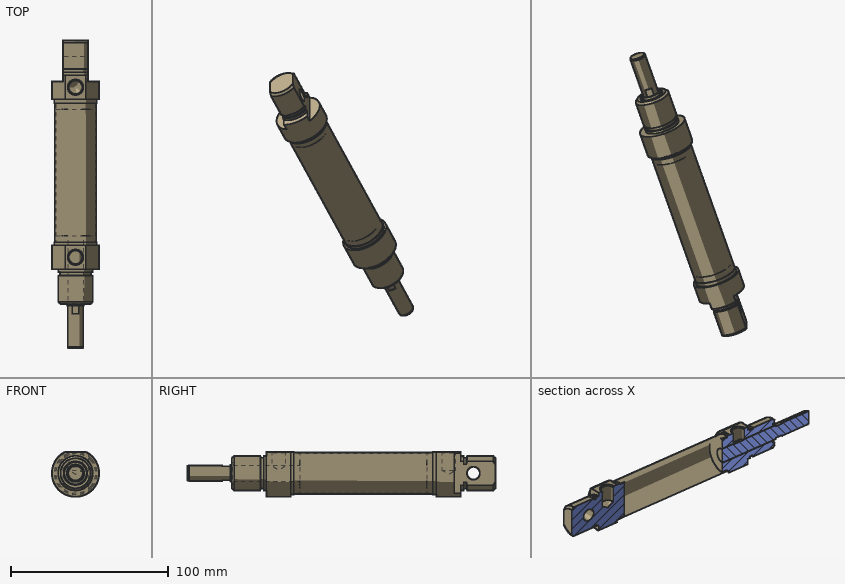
import cadquery as cq
import math


overall_length = 195.0
rod_extension = 50.0
rear_end_y = overall_length - rod_extension

flange_diameter = 30.0
flange_length = 15.4
neck_diameter = 22.0
neck_length = 22.0
neck_chamfer = 1.5
undercut_diameter = 19.7
undercut_width = 1.8
undercut_flank = 0.5
undercut_collar = 1.75
lip_diameter = 27.0
flange_flat_z = lip_diameter / 2
front_lip_length = 1.8
rear_lip_length = 2.3
spigot_length = 4.0

port_diameter = 8.57
port_mouth_diameter = 9.9
port_depth = 11.5
drill_point_angle = 118.0

eye_width = 16.0
eye_hole_diameter = 8.0
eye_hole_from_end = 14.0
eye_cheek_length = 26.0

tube_diameter = 26.5
tube_bore = 25.0

rod_diameter = 10.0
rod_tip_diameter = 9.2
rod_tip_chamfer_length = 1.0
rod_flat_width = 9.0
rod_flat_length = 5.0
rod_flat_from_tip = 22.0

recess_diameter = 14.1
recess_mouth_diameter = 15.0
recess_depth = 1.5
wiper_root_diameter = 11.1
wiper_tip_diameter = 10.5
wiper_tip_length = 1.0
wiper_shoulder_depth = 0.3

rod_tip_y = -rod_extension
nose_y = -neck_length
rear_flange_y = rear_end_y - neck_length
rear_flange_start_y = rear_flange_y - flange_length
tube_start_y = flange_length + front_lip_length
front_spigot_end_y = tube_start_y + spigot_length
tube_end_y = rear_flange_start_y - rear_lip_length


def revolve_about_y(outline):
    """Full solid of revolution from (radius, y) points."""
    return cq.Workplane("XY").polyline(outline).close().revolve(360, (0, 0, 0), (0, 1, 0))


def head_blank(lip_length):
    """Neck, flange, lip and spigot, with the flange face at Y = 0 and the neck pointing to -Y."""
    neck_radius = neck_diameter / 2
    undercut_radius = undercut_diameter / 2
    undercut_end = -undercut_collar
    undercut_start = undercut_end - undercut_width
    lip_end = flange_length + lip_length
    blank = revolve_about_y([
        (0, -neck_length),
        (neck_radius - neck_chamfer, -neck_length),
        (neck_radius, neck_chamfer - neck_length),
        (neck_radius, undercut_start - undercut_flank),
        (undercut_radius, undercut_start),
        (undercut_radius, undercut_end),
        (neck_radius, undercut_end),
        (neck_radius, 0),
        (flange_diameter / 2, 0),
        (flange_diameter / 2, flange_length),
        (lip_diameter / 2, flange_length),
        (lip_diameter / 2, lip_end),
        (tube_bore / 2, lip_end),
        (tube_bore / 2, lip_end + spigot_length),
        (0, lip_end + spigot_length),
    ])
    above_flat = cq.Workplane("XY", origin=(0, flange_length / 2, flange_flat_z)).box(
        flange_diameter, flange_length, flange_diameter, centered=(True, True, False))
    return blank.cut(above_flat).cut(port())


def port():
    """Drilled port with a chamfered mouth, in the middle of the flange flat."""
    radius = port_diameter / 2
    mouth_radius = port_mouth_diameter / 2
    floor_z = flange_flat_z - port_depth
    point_length = radius / math.tan(math.radians(drill_point_angle / 2))
    outline = [
        (0, flange_flat_z),
        (mouth_radius, flange_flat_z),
        (radius, flange_flat_z - (mouth_radius - radius)),
        (radius, floor_z),
        (0, floor_z - point_length),
    ]
    cutter = cq.Workplane("XZ").polyline(outline).close().revolve(360, (0, 0, 0), (0, 1, 0))
    return cutter.translate((0, flange_length / 2, 0))


def make_front_head():
    """Front head with the rod bore, the nose recess and the wiper lip."""
    rod_radius = rod_diameter / 2
    floor_y = nose_y + recess_depth
    mouth_chamfer = (recess_mouth_diameter - recess_diameter) / 2
    wiper_shoulder_y = nose_y + wiper_shoulder_depth
    wiper_tip_y = nose_y - wiper_tip_length
    recess = revolve_about_y([
        (0, nose_y),
        (recess_mouth_diameter / 2, nose_y),
        (recess_diameter / 2, nose_y + mouth_chamfer),
        (recess_diameter / 2, floor_y),
        (0, floor_y),
    ])
    wiper = revolve_about_y([
        (0, floor_y),
        (wiper_root_diameter / 2, floor_y),
        (wiper_root_diameter / 2, wiper_shoulder_y),
        (wiper_tip_diameter / 2, wiper_tip_y),
        (0, wiper_tip_y),
    ])
    bore = revolve_about_y([
        (0, wiper_tip_y),
        (rod_radius, wiper_tip_y),
        (rod_radius, front_spigot_end_y),
        (0, front_spigot_end_y),
    ])
    head = head_blank(front_lip_length)
    return head.cut(recess).union(wiper).cut(bore)


def make_rear_head():
    """Rear head: a head turned end for end, its neck cut to a flat eye with a cross hole."""
    head = head_blank(rear_lip_length)
    head = head.mirror("XZ").translate((0, rear_flange_y, 0))
    cheek_y = rear_end_y - eye_cheek_length / 2
    for side in (-1, 1):
        cheek = cq.Workplane("XY").box(flange_diameter, eye_cheek_length, flange_diameter)
        head = head.cut(cheek.translate((side * (eye_width + flange_diameter) / 2, cheek_y, 0)))
    eye_hole = (
        cq.Workplane("YZ", origin=(-eye_width / 2, rear_end_y - eye_hole_from_end, 0))
        .circle(eye_hole_diameter / 2)
        .extrude(eye_width)
    )
    return head.cut(eye_hole)


def make_tube():
    """Thin barrel between the lips of the two heads."""
    return (
        cq.Workplane("XZ", origin=(0, tube_end_y, 0))
        .circle(tube_diameter / 2)
        .circle(tube_bore / 2)
        .extrude(tube_end_y - tube_start_y)
    )


def make_rod():
    """Piston rod with a chamfered tip and two wrench flats, above and below the axis."""
    radius = rod_diameter / 2
    rod = revolve_about_y([
        (0, rod_tip_y),
        (rod_tip_diameter / 2, rod_tip_y),
        (radius, rod_tip_y + rod_tip_chamfer_length),
        (radius, front_spigot_end_y),
        (0, front_spigot_end_y),
    ])
    flats_y = rod_tip_y + rod_flat_from_tip + rod_flat_length / 2
    keep = cq.Workplane("XY").box(2 * rod_diameter, rod_flat_length, rod_flat_width)
    around = cq.Workplane("XY").box(2 * rod_diameter, rod_flat_length, 2 * rod_diameter)
    return rod.cut(around.cut(keep).translate((0, flats_y, 0)))


front_head = make_front_head()
tube = make_tube()
rear_head = make_rear_head()
rod = make_rod()

result = cq.Compound.makeCompound([front_head.val(), tube.val(), rear_head.val(), rod.val()])